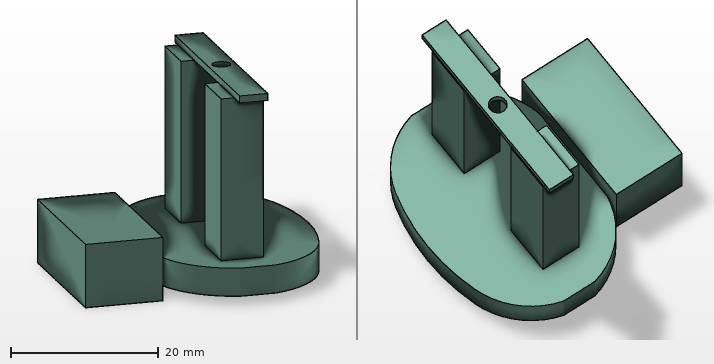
import cadquery as cq
import math

base_length = 35.48
base_thickness = 4.0
base_half_depth = 12.65
long_arc_radius = 33.2
corner_radius = 12.3
corner_center_x = 5.82
base_front_y = -11.7

post_length = 7.5
post_depth = 6.0
post_height = 23.0
post_spacing = 18.35
post_pair_x = 0.8
post_y = -0.95

bar_length = 29.65
bar_depth = 4.0
bar_thickness = 1.0
bar_x = 1.42
bar_y = -0.1
bar_hole_diameter = 2.52

block_length = 22.0
block_depth = 11.0
block_height = 9.0
block_x = 0.95
block_drop = 1.5


def box_on(length, depth, height, x, y, bottom_z):
    """Box centred on x and y, standing on bottom_z."""
    return (
        cq.Workplane("XY")
        .box(length, depth, height, centered=(True, True, False))
        .translate((x, y, bottom_z))
    )


def make_plate():
    """Oval plate: each long arc runs tangentially into the corner arcs."""
    half_length = base_length / 2
    long_arc_center_y = base_half_depth - long_arc_radius
    center_distance = long_arc_radius - corner_radius
    rise = math.sqrt(center_distance**2 - corner_center_x**2)
    corner_center_y = long_arc_center_y + rise

    tangent_ratio = long_arc_radius / center_distance
    join_x = corner_center_x * tangent_ratio
    join_y = long_arc_center_y + rise * tangent_ratio

    end_reach = half_length - corner_center_x
    end_y = corner_center_y + math.sqrt(corner_radius**2 - end_reach**2)

    join_angle = math.atan2(rise, corner_center_x)
    end_angle = math.acos(end_reach / corner_radius)
    middle_angle = (join_angle + end_angle) / 2
    middle_x = corner_center_x + corner_radius * math.cos(middle_angle)
    middle_y = corner_center_y + corner_radius * math.sin(middle_angle)

    oval = (
        cq.Workplane("XY")
        .moveTo(half_length, -end_y)
        .lineTo(half_length, end_y)
        .threePointArc((middle_x, middle_y), (join_x, join_y))
        .threePointArc((0, base_half_depth), (-join_x, join_y))
        .threePointArc((-middle_x, middle_y), (-half_length, end_y))
        .lineTo(-half_length, -end_y)
        .threePointArc((-middle_x, -middle_y), (-join_x, -join_y))
        .threePointArc((0, -base_half_depth), (join_x, -join_y))
        .threePointArc((middle_x, -middle_y), (half_length, -end_y))
        .close()
        .extrude(base_thickness)
    )
    kept_depth = base_half_depth - base_front_y
    kept_middle_y = (base_half_depth + base_front_y) / 2
    return oval.intersect(box_on(base_length, kept_depth, base_thickness, 0, kept_middle_y, 0))


def make_base():
    """Plate with its two posts."""
    base = make_plate()
    for side in (-1, 1):
        post_x = post_pair_x + side * post_spacing / 2
        base = base.union(box_on(post_length, post_depth, post_height, post_x, post_y, base_thickness))
    return base


def make_bar():
    """Thin bar with a hole through its middle."""
    bar = box_on(bar_length, bar_depth, bar_thickness, bar_x, bar_y, base_thickness + post_height)
    return bar.faces(">Z").workplane(origin=(bar_x, bar_y)).hole(bar_hole_diameter)


def make_block():
    """Plain block touching the front of the base."""
    block_y = base_front_y - block_depth / 2
    return box_on(block_length, block_depth, block_height, block_x, block_y, -block_drop)


base = make_base()
bar = make_bar()
block = make_block()

result = cq.Compound.makeCompound([base.solids().val(), bar.solids().val(), block.val()])